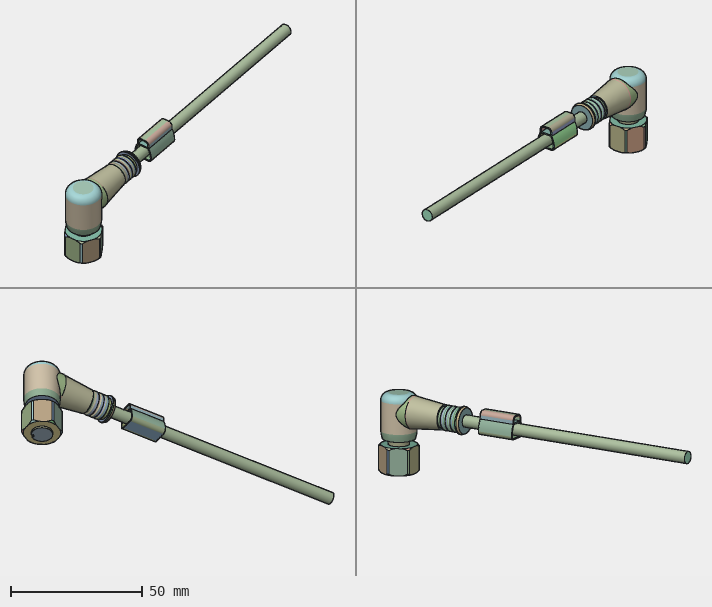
import cadquery as cq
import math


CABLE_RADIUS = 2.4
CABLE_END_Y = 130.0

ELBOW_RADIUS = 7.0
ELBOW_TOP_Z = 7.0
ELBOW_BOTTOM_Z = -11.1
ELBOW_TOP_FILLET = 3.0
SHOULDER_Z = -8.1
SHOULDER_INSET = 0.5

BOOT_NECK_RADIUS = 6.5
BOOT_CONE_START_RADIUS = 6.3
BOOT_NECK_END_Y = 6.8
BOOT_CONE_START_Y = 7.3
BOOT_CONE_END_Y = 20.1
BOOT_CONE_END_RADIUS = 5.0
BOOT_END_Y = 30.0

GRIP_CORE_RADIUS = 4.4
RIDGE_RADIUS = 5.0
RIDGE_WIDTH = 1.4
RIDGE_FILLET = 0.25
RIDGE_PITCH = 2.2
RIDGE_COUNT = 3
FIRST_RIDGE_Y = 22.2
FLANGE_RADIUS = 5.5
FLANGE_WIDTH = 1.5
FLANGE_TAPER = 1.0
FLANGE_INSET = 0.4

INSERT_RADIUS = 4.1
INSERT_BOTTOM_Z = -25.1
KEYWAY_ANGLE = 225
KEYWAY_WIDTH = 1.1
KEYWAY_DEPTH = 0.8
KEYWAY_LENGTH = 5.5

NUT_ACROSS_FLATS = 2 * ELBOW_RADIUS
NUT_ACROSS_CORNERS = 15.6
NUT_TOP_Z = -13.4
NUT_BOTTOM_Z = -24.2
NUT_CHAMFER = 1.0
NUT_FACE_RADIUS = 7.1

MARKER_START_Y = 38.2
MARKER_LENGTH = 15.0
MARKER_TOP_Z = 5.8
MARKER_BOTTOM_Z = -3.5
MARKER_TOP_HALF_WIDTH = 2.7
MARKER_TOP_CORNER_RADIUS = 1.8
MARKER_WAIST_Z = 2.6
MARKER_HALF_WIDTH = 4.0
MARKER_BOTTOM_CORNER_RADIUS = 1.5
MARKER_WALL = 0.5


def cylinder_y(radius, start_y, end_y):
    """Cylinder along the cable axis."""
    return cq.Workplane("XZ", origin=(0, start_y, 0)).circle(radius).extrude(start_y - end_y)


def cylinder_z(radius, bottom_z, top_z):
    """Cylinder along the elbow axis."""
    return cq.Workplane("XY", origin=(0, 0, bottom_z)).circle(radius).extrude(top_z - bottom_z)


def make_elbow_post():
    """Upright barrel with a rounded top and a curved shoulder at the bottom."""
    top_flat_radius = ELBOW_RADIUS - ELBOW_TOP_FILLET
    shoulder_height = SHOULDER_Z - ELBOW_BOTTOM_Z
    shoulder_radius = (shoulder_height**2 + SHOULDER_INSET**2) / (2 * SHOULDER_INSET)
    fillet_mid = ELBOW_TOP_FILLET * math.sqrt(0.5)
    fillet_z = ELBOW_TOP_Z - ELBOW_TOP_FILLET
    return (
        cq.Workplane("XZ")
        .moveTo(0, ELBOW_BOTTOM_Z)
        .lineTo(ELBOW_RADIUS - SHOULDER_INSET, ELBOW_BOTTOM_Z)
        .radiusArc((ELBOW_RADIUS, SHOULDER_Z), -shoulder_radius)
        .lineTo(ELBOW_RADIUS, fillet_z)
        .threePointArc((top_flat_radius + fillet_mid, fillet_z + fillet_mid), (top_flat_radius, ELBOW_TOP_Z))
        .lineTo(0, ELBOW_TOP_Z)
        .close()
        .revolve(360, (0, 0), (0, 1))
    )


def make_boot():
    """Tapered strain relief with a flange at its cable end."""
    flange_start_y = BOOT_END_Y - FLANGE_WIDTH
    boot = (
        cq.Workplane("XY")
        .moveTo(0, 0)
        .lineTo(BOOT_NECK_RADIUS, 0)
        .lineTo(BOOT_NECK_RADIUS, BOOT_NECK_END_Y)
        .lineTo(BOOT_CONE_START_RADIUS, BOOT_CONE_START_Y)
        .lineTo(BOOT_CONE_END_RADIUS, BOOT_CONE_END_Y)
        .lineTo(GRIP_CORE_RADIUS, BOOT_CONE_END_Y)
        .lineTo(GRIP_CORE_RADIUS, flange_start_y)
        .lineTo(FLANGE_RADIUS, flange_start_y)
        .lineTo(FLANGE_RADIUS, BOOT_END_Y - FLANGE_TAPER)
        .lineTo(FLANGE_RADIUS - FLANGE_INSET, BOOT_END_Y)
        .lineTo(0, BOOT_END_Y)
        .close()
        .revolve(360, (0, 0), (0, 1))
    )
    for index in range(RIDGE_COUNT):
        center_y = FIRST_RIDGE_Y + index * RIDGE_PITCH
        boot = boot.union(cylinder_y(RIDGE_RADIUS, center_y - RIDGE_WIDTH / 2, center_y + RIDGE_WIDTH / 2))
    last_ridge_y = FIRST_RIDGE_Y + (RIDGE_COUNT - 1) * RIDGE_PITCH
    grip_zone = cq.selectors.BoxSelector(
        (-FLANGE_RADIUS, FIRST_RIDGE_Y - RIDGE_WIDTH, -FLANGE_RADIUS),
        (FLANGE_RADIUS, last_ridge_y + RIDGE_WIDTH, FLANGE_RADIUS),
    )
    return boot.edges("%CIRCLE").edges(grip_zone).fillet(RIDGE_FILLET)


def make_housing():
    """One-piece angled housing: elbow post and boot."""
    return make_elbow_post().union(make_boot())


def make_cable():
    """Round cable that starts at the end of the boot."""
    return cylinder_y(CABLE_RADIUS, BOOT_END_Y, CABLE_END_Y)


def make_insert():
    """Contact carrier below the housing, with a keyway in its lower rim."""
    insert = cylinder_z(INSERT_RADIUS, INSERT_BOTTOM_Z, ELBOW_BOTTOM_Z)
    keyway = (
        cq.Workplane("XY")
        .box(2 * KEYWAY_DEPTH, KEYWAY_WIDTH, 2 * KEYWAY_LENGTH)
        .translate((INSERT_RADIUS, 0, INSERT_BOTTOM_Z))
        .rotate((0, 0, 0), (0, 0, 1), KEYWAY_ANGLE)
    )
    return insert.cut(keyway)


def make_nut():
    """Hexagonal coupling nut with flattened corners and chamfered ends, bored for the insert."""
    height = NUT_TOP_Z - NUT_BOTTOM_Z
    hexagon = (
        cq.Workplane("XY", origin=(0, 0, NUT_BOTTOM_Z))
        .polygon(6, NUT_ACROSS_FLATS / math.cos(math.pi / 6))
        .extrude(height)
    )
    corner_flats = (
        cq.Workplane("XY", origin=(0, 0, NUT_BOTTOM_Z))
        .polygon(6, NUT_ACROSS_CORNERS / math.cos(math.pi / 6))
        .extrude(height)
        .rotate((0, 0, 0), (0, 0, 1), 30)
    )
    end_cones = cylinder_z(NUT_FACE_RADIUS + NUT_CHAMFER, NUT_BOTTOM_Z, NUT_TOP_Z).edges().chamfer(NUT_CHAMFER)
    bore = cylinder_z(INSERT_RADIUS, NUT_BOTTOM_Z, NUT_TOP_Z)
    return hexagon.intersect(corner_flats).intersect(end_cones).cut(bore)


def marker_outline():
    """Closed cross-section of the marker: a wide base with a narrower rounded head on top."""
    head_flat = MARKER_TOP_HALF_WIDTH - MARKER_TOP_CORNER_RADIUS
    head_corner_z = MARKER_TOP_Z - MARKER_TOP_CORNER_RADIUS
    base_flat = MARKER_HALF_WIDTH - MARKER_BOTTOM_CORNER_RADIUS
    base_corner_z = MARKER_BOTTOM_Z + MARKER_BOTTOM_CORNER_RADIUS
    flank_rise = MARKER_WAIST_Z - base_corner_z
    flank_inset = MARKER_HALF_WIDTH - MARKER_TOP_HALF_WIDTH
    flank_radius = (flank_rise**2 + flank_inset**2) / (2 * flank_inset)
    return (
        cq.Workplane("XZ", origin=(0, MARKER_START_Y, 0))
        .moveTo(-base_flat, MARKER_BOTTOM_Z)
        .radiusArc((-MARKER_HALF_WIDTH, base_corner_z), MARKER_BOTTOM_CORNER_RADIUS)
        .radiusArc((-MARKER_TOP_HALF_WIDTH, MARKER_WAIST_Z), flank_radius)
        .lineTo(-MARKER_TOP_HALF_WIDTH, head_corner_z)
        .radiusArc((-head_flat, MARKER_TOP_Z), MARKER_TOP_CORNER_RADIUS)
        .lineTo(head_flat, MARKER_TOP_Z)
        .radiusArc((MARKER_TOP_HALF_WIDTH, head_corner_z), MARKER_TOP_CORNER_RADIUS)
        .lineTo(MARKER_TOP_HALF_WIDTH, MARKER_WAIST_Z)
        .radiusArc((MARKER_HALF_WIDTH, base_corner_z), flank_radius)
        .radiusArc((base_flat, MARKER_BOTTOM_Z), MARKER_BOTTOM_CORNER_RADIUS)
        .close()
    )


def make_marker():
    """Thin-walled label sleeve, split by a partition that rests on the cable."""
    shell = marker_outline().extrude(-MARKER_LENGTH)
    cavity = marker_outline().offset2D(-MARKER_WALL).extrude(-MARKER_LENGTH)
    partition = (
        cq.Workplane("XZ", origin=(0, MARKER_START_Y, CABLE_RADIUS + MARKER_WALL / 2))
        .rect(2 * MARKER_TOP_HALF_WIDTH - MARKER_WALL, MARKER_WALL)
        .extrude(-MARKER_LENGTH)
    )
    return shell.cut(cavity).union(partition)


housing = make_housing()
cable = make_cable()
insert = make_insert()
nut = make_nut()
marker = make_marker()
result = cq.Compound.makeCompound([housing.val(), cable.val(), insert.val(), nut.val(), marker.val()])